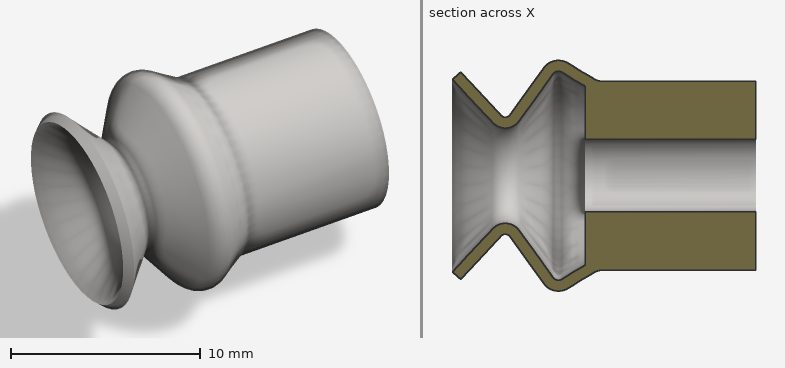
import cadquery as cq
import math

LENGTH = 16.0
WALL = 0.6
BORE_RADIUS = 1.9

LIP_EDGE_RADIUS = 5.48
LIP_EDGE_Y = 0.45

NECK_RADIUS = 3.1
NECK_Y = 2.8
NECK_ROUND = 0.3
NECK_CENTRE = (NECK_RADIUS + NECK_ROUND, NECK_Y)

CREST_RADIUS = 6.1
CREST_Y = 5.6
CREST_ROUND = 0.95
CREST_CENTRE = (CREST_RADIUS - CREST_ROUND, CREST_Y)

SLEEVE_RADIUS = 5.0
SLEEVE_START_Y = 7.9
SLEEVE_FILLET = 0.8
SLEEVE_FILLET_CENTRE = (SLEEVE_RADIUS + SLEEVE_FILLET, SLEEVE_START_Y)

CAVITY_ROOF_Y = 7.0


def tangent_angle(wide, narrow, radii_sum):
    """Cone angle of the line that crosses between two section circles.

    The line passes outside the circle centred on wide and on the axis side of the
    circle centred on narrow. A sharp corner counts as a circle of radius zero.
    """
    run = wide[0] - narrow[0]
    rise = abs(wide[1] - narrow[1])
    spread = math.asin(radii_sum / math.hypot(run, rise))
    return math.atan2(run, rise) + spread


def around(centre, distance, angle):
    """Point at a distance from a centre; angle 0 is outward, positive toward +Y."""
    return (
        centre[0] + distance * math.cos(angle),
        centre[1] + distance * math.sin(angle),
    )


LIP_ANGLE = tangent_angle((LIP_EDGE_RADIUS, LIP_EDGE_Y), NECK_CENTRE, NECK_ROUND)

LOWER_ANGLE = tangent_angle(CREST_CENTRE, NECK_CENTRE, CREST_ROUND + NECK_ROUND)

SHOULDER_ANGLE = tangent_angle(CREST_CENTRE, SLEEVE_FILLET_CENTRE, CREST_ROUND + SLEEVE_FILLET)


def neck_arc(radius):
    """Start, middle and end of the neck round, from the lip cone to the lower cone."""
    return (
        around(NECK_CENTRE, radius, math.pi + LIP_ANGLE),
        around(NECK_CENTRE, radius, math.pi),
        around(NECK_CENTRE, radius, math.pi - LOWER_ANGLE),
    )


def crest_arc(radius):
    """Start, middle and end of the crest round, from the lower cone to the shoulder."""
    return (
        around(CREST_CENTRE, radius, -LOWER_ANGLE),
        around(CREST_CENTRE, radius, 0),
        around(CREST_CENTRE, radius, SHOULDER_ANGLE),
    )


def lip_opening_radius():
    """Radius where the inner lip cone reaches the plane y = 0."""
    radius, y = neck_arc(NECK_ROUND + WALL)[0]
    return radius + y * math.tan(LIP_ANGLE)


def revolve(profile):
    """Revolve a closed half profile about the Y axis."""
    return profile.close().revolve(360, (0, 0, 0), (0, 1, 0))


def make_body():
    """Solid enclosed by the outer surface of the cup."""
    neck_start, neck_middle, neck_end = neck_arc(NECK_ROUND)
    crest_start, crest_middle, crest_end = crest_arc(CREST_ROUND)
    fillet_start = around(SLEEVE_FILLET_CENTRE, SLEEVE_FILLET, math.pi + SHOULDER_ANGLE)
    fillet_middle = around(SLEEVE_FILLET_CENTRE, SLEEVE_FILLET, math.pi + SHOULDER_ANGLE / 2)
    profile = (
        cq.Workplane("XY")
        .lineTo(lip_opening_radius(), 0)
        .lineTo(LIP_EDGE_RADIUS, LIP_EDGE_Y)
        .lineTo(*neck_start)
        .threePointArc(neck_middle, neck_end)
        .lineTo(*crest_start)
        .threePointArc(crest_middle, crest_end)
        .lineTo(*fillet_start)
        .threePointArc(fillet_middle, (SLEEVE_RADIUS, SLEEVE_START_Y))
        .lineTo(SLEEVE_RADIUS, LENGTH)
        .lineTo(0, LENGTH)
    )
    return revolve(profile)


def make_cavity():
    """Hollow of the lip and the bellows, one wall thickness inside the outer surface."""
    neck_start, neck_middle, neck_end = neck_arc(NECK_ROUND + WALL)
    crest_start, crest_middle, crest_end = crest_arc(CREST_ROUND - WALL)
    roof_radius = crest_end[0] - (CAVITY_ROOF_Y - crest_end[1]) * math.tan(SHOULDER_ANGLE)
    profile = (
        cq.Workplane("XY")
        .lineTo(lip_opening_radius(), 0)
        .lineTo(*neck_start)
        .threePointArc(neck_middle, neck_end)
        .lineTo(*crest_start)
        .threePointArc(crest_middle, crest_end)
        .lineTo(roof_radius, CAVITY_ROOF_Y)
        .lineTo(0, CAVITY_ROOF_Y)
    )
    return revolve(profile)


def make_bore():
    """Through hole along the axis."""
    return cq.Workplane("XZ").circle(BORE_RADIUS).extrude(-LENGTH)


result = make_body().cut(make_cavity()).cut(make_bore())